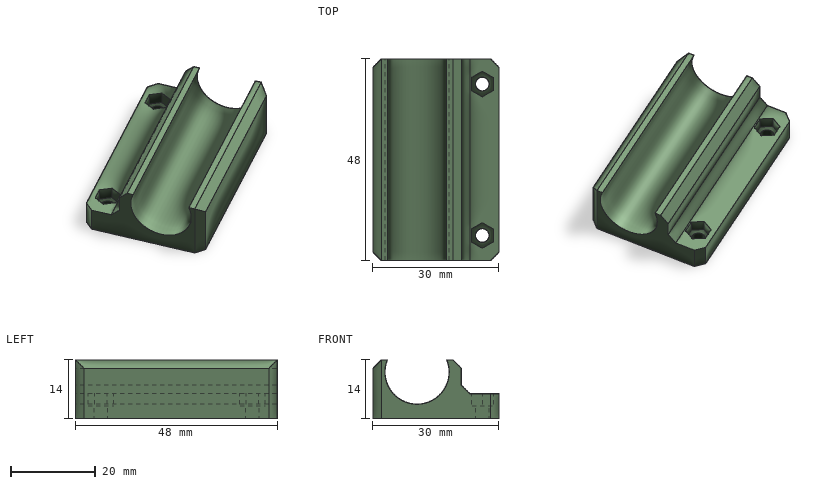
import cadquery as cq

width = 30.0
length = 48.0
height = 14.0

block_width = 21.0
flange_height = 6.0
chamfer = 2.0
bore_diameter = 15.2
bore_z = 11.1

hole_diameter = 3.2
hole_x = 26.0
hole_end_distance = 6.0
nut_corner_diameter = 6.05
nut_pocket_depth = 3.0


def make_body():
    """Extrude the cradle-and-flange profile along Y and bevel its upright corners."""
    profile = [
        (0, 0),
        (width, 0),
        (width, flange_height),
        (block_width + chamfer, flange_height),
        (block_width, flange_height + chamfer),
        (block_width, height - chamfer),
        (block_width - chamfer, height),
        (chamfer, height),
        (0, height - chamfer),
    ]
    extrusion = cq.Workplane("XZ").polyline(profile).close().extrude(-length)
    footprint = (
        cq.Workplane("XY")
        .rect(width, length, centered=False)
        .extrude(height)
        .edges("|Z")
        .chamfer(chamfer)
    )
    return extrusion.intersect(footprint)


def make_bore():
    """Open-topped round channel, centred across the block."""
    return (
        cq.Workplane("XZ")
        .center(block_width / 2, bore_z)
        .circle(bore_diameter / 2)
        .extrude(-length)
    )


def make_screw_hole(y):
    """Through hole with a nut pocket whose corners point along Y."""
    hole = cq.Workplane("XY").center(hole_x, y).circle(hole_diameter / 2).extrude(flange_height)
    pocket = (
        cq.Workplane("XY", origin=(hole_x, y, flange_height - nut_pocket_depth))
        .transformed(rotate=(0, 0, 90))
        .polygon(6, nut_corner_diameter)
        .extrude(nut_pocket_depth)
    )
    return hole.union(pocket)


result = make_body().cut(make_bore())
for hole_y in (hole_end_distance, length - hole_end_distance):
    result = result.cut(make_screw_hole(hole_y))